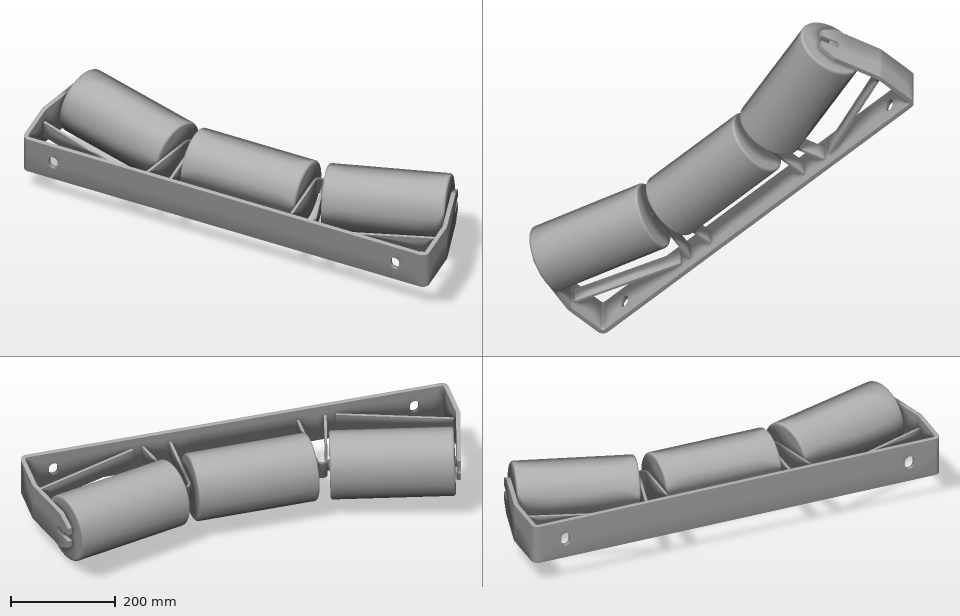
import cadquery as cq
import math


frame_length = 850.0
bar_height = 80.0
bar_thickness = 8.5
corner_radius = 14.0
bend_height = 96.0
bend_radius = 20.0
fork_tip_y = 223.5
fork_chamfer_along = 30.0
fork_chamfer_z = 17.0
trough_angle = 15.0
mount_slot_x = 359.0
mount_slot_width = 19.0
mount_slot_height = 27.0

roller_diameter = 133.0
roller_length = 240.0
roller_edge_radius = 5.0
shaft_diameter = 20.0
shaft_flat_width = 15.0
roller_gap = 4.0
middle_roller_y = 125.0
axis_meeting_x = 136.0
side_roller_reach = 140.0
toe_angle = 1.6

sheet_thickness = 5.0
strip_height = 35.0
bracket_bend_radius = 12.0
brace_wall_y = 82.5
brace_foot_x = 203.0

half_length = frame_length / 2
trough = math.radians(trough_angle)
cos_t = math.cos(trough)
sin_t = math.sin(trough)
fork_length = (fork_tip_y - bend_height) / cos_t
shaft_half = roller_length / 2 + roller_gap + sheet_thickness
side_roller_x = axis_meeting_x + side_roller_reach * cos_t
side_roller_y = middle_roller_y + side_roller_reach * sin_t
side_roller_z = -shaft_half * math.sin(math.radians(toe_angle))
middle_roller_z = 2 * side_roller_z


def along_trough(start, axial, upward):
    """Point reached from start by steps along the left roller axis and square to it."""
    return (
        start[0] + axial * cos_t + upward * sin_t,
        start[1] - axial * sin_t + upward * cos_t,
    )


def mirrored(body):
    return body.mirror("YZ")


def place_side(body):
    """Move a body from the roller's own axes to the left roller position."""
    toed = body.rotate((0, 0, 0), (0, 1, 0), toe_angle)
    turned = toed.rotate((0, 0, 0), (0, 0, 1), -trough_angle)
    return turned.translate((-side_roller_x, side_roller_y, side_roller_z))


def place_middle(body):
    return body.translate((0, middle_roller_y, middle_roller_z))


def make_shaft(half_span=shaft_half):
    """Round shaft along X with two flats facing up and down."""
    left_end = (-half_span, 0, 0)
    bar = cq.Workplane("YZ", origin=left_end).circle(shaft_diameter / 2).extrude(2 * half_span)
    flats = cq.Workplane("XY").box(2 * half_span, shaft_diameter, shaft_flat_width)
    return bar.intersect(flats)


def make_roller():
    left_end = (-roller_length / 2, 0, 0)
    drum = cq.Workplane("YZ", origin=left_end).circle(roller_diameter / 2).extrude(roller_length)
    drum = drum.edges("%CIRCLE").fillet(roller_edge_radius)
    return drum.union(make_shaft())


def make_fork_slot():
    """Open slot for the outer shaft end, rounded at the bottom to fit the shaft."""
    reach = 2 * bar_thickness
    slot_start = -shaft_half - reach
    opening = cq.Workplane("XY", origin=(slot_start, 0, -shaft_flat_width / 2)).box(
        2 * reach, fork_length, shaft_flat_width, centered=False
    )
    return opening.union(make_shaft(shaft_half + reach))


def make_frame_half():
    """Left half of the frame: bar, upright and slotted fork leaning over the roller."""
    inner_x = -half_length + bar_thickness
    inner_bend_y = bend_height - bar_thickness * math.tan(trough / 2)
    bend = (-half_length, bend_height)
    outline = [
        (0, 0),
        (-half_length, 0),
        bend,
        along_trough(bend, 0, fork_length),
        along_trough(bend, bar_thickness, fork_length),
        (inner_x, inner_bend_y),
        (inner_x, bar_thickness),
        (0, bar_thickness),
    ]
    half = cq.Workplane("XY").polyline(outline).close().extrude(bar_height / 2, both=True)

    for point, radius in [
        ((-half_length, 0), corner_radius),
        ((inner_x, bar_thickness), corner_radius - bar_thickness),
        (bend, bend_radius),
        ((inner_x, inner_bend_y), bend_radius - bar_thickness),
    ]:
        half = half.edges(cq.selectors.NearestToPointSelector((*point, 0))).fillet(radius)

    tip = along_trough(bend, bar_thickness / 2, fork_length)
    across_fork = cq.Plane(origin=(*tip, 0), xDir=(sin_t, cos_t, 0), normal=(cos_t, -sin_t, 0))
    for side in (1, -1):
        edge_z = side * bar_height / 2
        corner = [(0, edge_z), (-fork_chamfer_along, edge_z), (0, edge_z - side * fork_chamfer_z)]
        wedge = cq.Workplane(across_fork).polyline(corner).close().extrude(bar_thickness, both=True)
        half = half.cut(wedge)

    mount_slot = (
        cq.Workplane("XZ", origin=(-mount_slot_x, 0, 0))
        .slot2D(mount_slot_height, mount_slot_width, 90)
        .extrude(-bar_thickness)
    )
    return half.cut(mount_slot).cut(place_side(make_fork_slot()))


def make_frame():
    half = make_frame_half()
    return half.union(mirrored(half)).clean()


def make_bracket():
    """Left inner bracket: an upright leg and a leaning leg joined by a round bend."""
    upright_x = -roller_length / 2 - roller_gap
    face = along_trough((-side_roller_x, side_roller_y), roller_length / 2 + roller_gap, 0)
    radius = bracket_bend_radius
    inner_radius = radius - sheet_thickness
    center_x = upright_x - radius
    center_y = face[1] + ((center_x - face[0]) * cos_t - radius) / sin_t

    def foot_x(point):
        return point[0] - (point[1] - bar_thickness) * math.tan(trough)

    def on_bend(bend_r, degrees):
        angle = math.radians(degrees)
        return (center_x + bend_r * math.cos(angle), center_y + bend_r * math.sin(angle))

    lean_degrees = 180 - trough_angle
    outer_lean = on_bend(radius, lean_degrees)
    inner_lean = on_bend(inner_radius, lean_degrees)
    profile = (
        cq.Workplane("XY")
        .moveTo(upright_x, bar_thickness)
        .lineTo(upright_x, center_y)
        .threePointArc(on_bend(radius, lean_degrees / 2), outer_lean)
        .lineTo(foot_x(outer_lean), bar_thickness)
        .lineTo(foot_x(inner_lean), bar_thickness)
        .lineTo(*inner_lean)
        .threePointArc(on_bend(inner_radius, lean_degrees / 2), (center_x + inner_radius, center_y))
        .lineTo(upright_x - sheet_thickness, bar_thickness)
        .close()
    )
    bracket = profile.extrude(strip_height / 2, both=True)
    shaft = make_shaft()
    return bracket.cut(place_side(shaft)).cut(place_middle(shaft))


def make_brace():
    """Left brace: a square-cut strip from the frame's upright down to its long bar."""
    wall = (-half_length + bar_thickness, brace_wall_y)
    foot = (-brace_foot_x, bar_thickness)
    run = foot[0] - wall[0]
    drop = wall[1] - foot[1]
    length = math.hypot(run, drop)
    slope = math.degrees(math.atan2(drop, run))
    strip = cq.Workplane("XY").box(length, sheet_thickness, strip_height, centered=(False, False, True))
    return strip.rotate((0, 0, 0), (0, 0, 1), -slope).translate((*wall, 0))


frame = make_frame()
rollers = [place_middle(make_roller())]
brackets = []
braces = []
for to_side in (lambda body: body, mirrored):
    rollers.append(to_side(place_side(make_roller())))
    brackets.append(to_side(make_bracket()))
    braces.append(to_side(make_brace()))

result = cq.Compound.makeCompound([body.val() for body in [frame, *rollers, *brackets, *braces]])